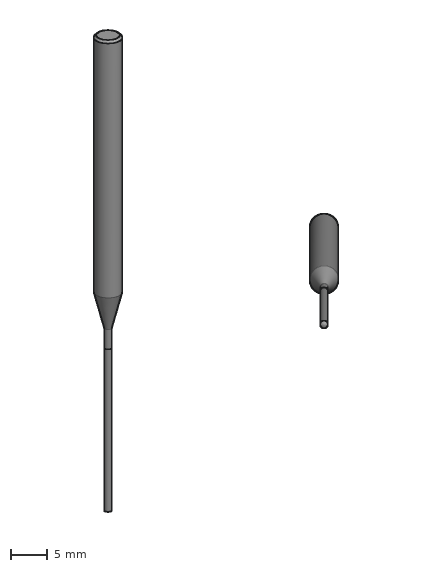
import cadquery as cq

total_length = 73.0
shank_radius = 4.0 / 2
neck_radius = 1.1 / 2

tip_length = 25.1
neck_length = 3.1
taper_length = 5.55
neck_top = tip_length + neck_length
taper_top = neck_top + taper_length

point_height = 0.2

chamfer_size = 0.4


def make_holder():
    """Chamfered shank, taper and short neck as one turned body."""
    outline = [
        (0, tip_length),
        (neck_radius, tip_length),
        (neck_radius, neck_top),
        (shank_radius, taper_top),
        (shank_radius, total_length - chamfer_size),
        (shank_radius - chamfer_size, total_length),
        (0, total_length),
    ]
    return cq.Workplane("XZ").polyline(outline).close().revolve(360, (0, 0), (0, 1))


def make_tip():
    """Slim cylindrical tip with a shallow conical point."""
    outline = [
        (0, 0),
        (neck_radius, point_height),
        (neck_radius, tip_length),
        (0, tip_length),
    ]
    return cq.Workplane("XZ").polyline(outline).close().revolve(360, (0, 0), (0, 1))


holder = make_holder()
tip = make_tip()

result = cq.Compound.makeCompound([holder.val(), tip.val()])